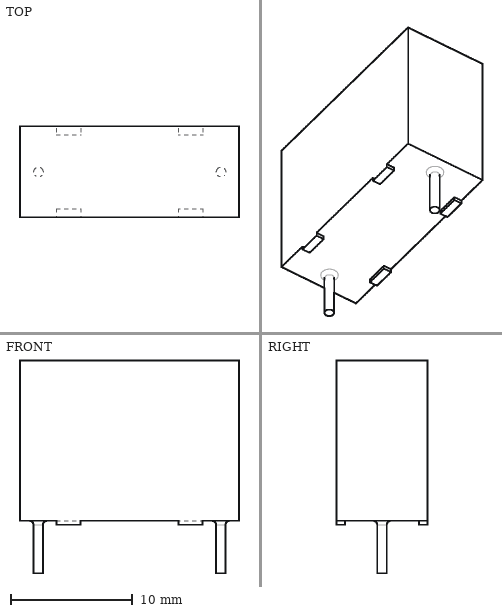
import cadquery as cq


case_length = 18.0
case_width = 7.5
overall_height = 17.5
lead_length = 4.3
case_height = overall_height - lead_length

foot_length = 2.0
foot_width = 0.72
foot_height = 0.32
foot_spacing = 10.0

lead_diameter = 0.8
lead_spacing = 15.0
root_fillet = foot_height


def make_case():
    return cq.Workplane("XY").box(case_length, case_width, case_height, centered=(True, True, False))


def make_feet():
    """Four feet flush with the front and back faces of the case."""
    return (
        cq.Workplane("XY")
        .rarray(foot_spacing, case_width - foot_width, 2, 2)
        .rect(foot_length, foot_width)
        .extrude(-foot_height)
    )


def make_lead(center_x):
    """Round lead whose root flares out in a concave fillet to meet the case."""
    radius = lead_diameter / 2
    flare_radius = radius + root_fillet
    half_profile = (
        cq.Workplane("XZ")
        .lineTo(flare_radius, 0)
        .radiusArc((radius, -root_fillet), -root_fillet)
        .lineTo(radius, -lead_length)
        .lineTo(0, -lead_length)
        .close()
    )
    return half_profile.revolve(360, (0, 0), (0, 1)).translate((center_x, 0, 0))


result = make_case().union(make_feet())
for side in (-1, 1):
    result = result.union(make_lead(side * lead_spacing / 2))